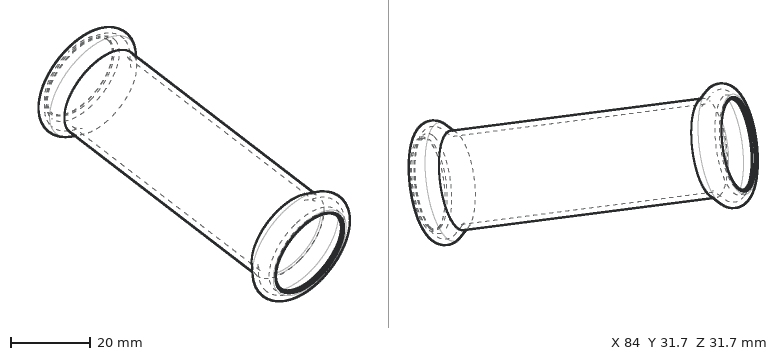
import cadquery as cq
import math

length = 84.0
body_radius = 25.3 / 2
bore_radius = 22.3 / 2
wall = body_radius - bore_radius

bead_outer_radius = 31.7 / 2
bead_radius = 3.1
bead_center_radius = bead_outer_radius - bead_radius
hollow_radius = bead_radius - wall
cone_angle = math.radians(41)

bend_radius = 0.8

lip_radius = 23.2 / 2
mouth_radius = 12.0
lip_start = 0.2
lip_end = 0.75


def bead_point(radius, angle):
    """Point on a circle about the bead centre, with the angle measured from +X."""
    return (
        bead_radius + radius * math.cos(angle),
        bead_center_radius + radius * math.sin(angle),
    )


def cone_end(tangent_point, end_radius):
    """X at which a cone starting at the tangent point comes down to the end radius."""
    return tangent_point[0] + (tangent_point[1] - end_radius) / math.tan(cone_angle)


def bend_point(angle):
    """Point on the bend, at the given angle back from where it meets the bore."""
    return (
        bend_end - bend_radius * math.sin(angle),
        bore_radius + bend_radius * (1 - math.cos(angle)),
    )


tangent_angle = math.pi / 2 - cone_angle
arc_middle_angle = (tangent_angle + math.pi) / 2
outer_tangent = bead_point(bead_radius, tangent_angle)
inner_tangent = bead_point(hollow_radius, tangent_angle)

bend_end = cone_end(inner_tangent, bore_radius) + bend_radius * math.tan(cone_angle / 2)
middle = length / 2

half_sleeve = (
    cq.Workplane("XY")
    .moveTo(0, mouth_radius)
    .lineTo(0, bead_center_radius)
    .threePointArc(bead_point(bead_radius, arc_middle_angle), outer_tangent)
    .lineTo(cone_end(outer_tangent, body_radius), body_radius)
    .lineTo(middle, body_radius)
    .lineTo(middle, bore_radius)
    .lineTo(bend_end, bore_radius)
    .threePointArc(bend_point(cone_angle / 2), bend_point(cone_angle))
    .lineTo(*inner_tangent)
    .threePointArc(bead_point(hollow_radius, arc_middle_angle), (wall, bead_center_radius))
    .lineTo(lip_end, lip_radius)
    .lineTo(lip_start, lip_radius)
    .close()
    .revolve(360, (0, 0, 0), (1, 0, 0))
    .translate((-middle, 0, 0))
)

result = half_sleeve.union(half_sleeve.mirror("YZ"), clean=True)